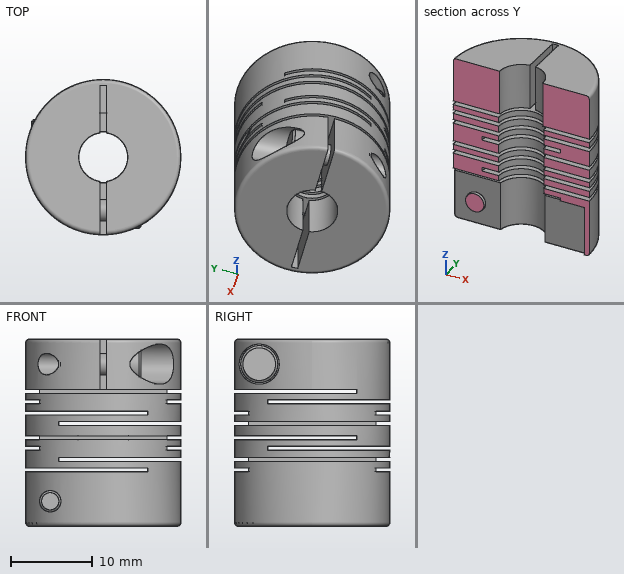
import cadquery as cq


length = 23.0
diameter = 19.1
radius = diameter / 2
edge_round = 0.48
upper_bore_radius = 3.0
lower_bore_radius = 3.13

slot_width = 0.45
slot_reach = 5.45
pair_pitch = 1.26
pair_gap = 1.4
middle_gap = 1.77
flexure_center_z = 11.75

slit_width = 0.8
slit_end = 8.79
lower_slit_depth = 6.78

screw_offset = 6.5
screw_inset = 3.08
shank_radius = 1.3
shank_tip = -5.5
shank_chamfer = 0.25
head_radius = 2.28
head_top = 4.65
head_height = 2.5
head_chamfer = 0.28
counterbore_radius = 2.45
head_seat = head_top - head_height

inner_pair_offsets = (middle_gap / 2, middle_gap / 2 + pair_pitch)
outer_pair_start = inner_pair_offsets[1] + pair_gap
slot_offsets = inner_pair_offsets + (outer_pair_start, outer_pair_start + pair_pitch)
slot_heights = [flexure_center_z + offset for offset in reversed(slot_offsets)]
slot_heights += [flexure_center_z - offset for offset in slot_offsets]
upper_slit_depth = length - (slot_heights[0] + slot_width / 2)

slot_openings = (270, 90, 180, 0, 270, 90, 0, 180)


def turn_to_lower_end(shape):
    """Half turn about the X = Y diagonal at mid-length."""
    middle = length / 2
    return shape.rotate((0, 0, middle), (0.23, 0.23, middle), 180)


def make_body():
    body = cq.Workplane("XY").circle(radius).extrude(length)
    body = body.faces("<Z or >Z").edges().fillet(edge_round)
    lower_bore = cq.Workplane("XY").circle(lower_bore_radius).extrude(slot_heights[0])
    upper_bore = cq.Workplane("XY").circle(upper_bore_radius).extrude(length)
    return body.cut(lower_bore).cut(upper_bore)


def make_slot(height, opening):
    """Flat cut entering from one side and stopping past the axis."""
    slot = cq.Workplane("XY").box(
        slot_reach + diameter, diameter, slot_width, centered=(False, True, True)
    )
    slot = slot.translate((-slot_reach, 0, height))
    return slot.rotate((0, 0, 0), (0, 0, 1), opening)


def make_upper_slit(depth):
    """Upright cut opening on -Y, with a blind end on the +Y side."""
    slit = cq.Workplane("XY").box(
        slit_width, slit_end + diameter, depth, centered=(True, False, False)
    )
    return slit.translate((0, -diameter, length - depth))


def make_rod(rod_radius, start, end):
    """Round bar along the upper screw axis, from start to end in X."""
    plane = cq.Workplane("YZ", origin=(start, -screw_offset, length - screw_inset))
    return plane.circle(rod_radius).extrude(end - start)


def make_upper_screw_hole():
    hole = make_rod(shank_radius, -radius, radius)
    return hole.union(make_rod(counterbore_radius, head_seat, radius))


def make_upper_screw():
    shank = make_rod(shank_radius, shank_tip, head_seat)
    shank = shank.faces("<X").chamfer(shank_chamfer)
    head = make_rod(head_radius, head_seat, head_top)
    head = head.faces(">X").chamfer(head_chamfer)
    return shank.union(head)


result = make_body()

for slot_height, slot_opening in zip(slot_heights, slot_openings):
    result = result.cut(make_slot(slot_height, slot_opening))

result = result.cut(make_upper_slit(upper_slit_depth))
result = result.cut(turn_to_lower_end(make_upper_slit(lower_slit_depth)))

screw_hole = make_upper_screw_hole()
screw = make_upper_screw()
result = result.cut(screw_hole).union(screw)
result = result.cut(turn_to_lower_end(screw_hole)).union(turn_to_lower_end(screw))